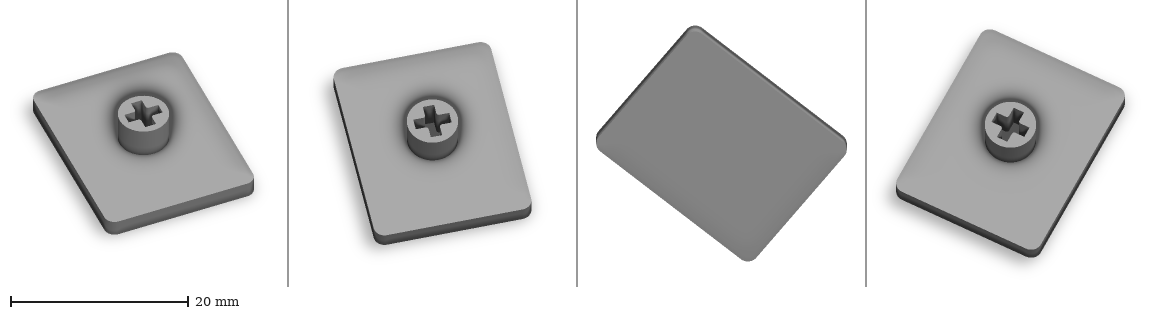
import cadquery as cq

plate_length = 22.95
plate_width = 18.2
plate_thickness = 2.0
corner_radius = 1.25

total_height = 5.7
stem_diameter = 5.8
stem_height = total_height - plate_thickness

arm_span = 4.15
arm_width = 1.3
inner_corner_radius = 0.3


def make_plate():
    """Flat rectangular plate with rounded vertical corners."""
    plate = cq.Workplane("XY").box(
        plate_length, plate_width, plate_thickness, centered=(True, True, False)
    )
    return plate.edges("|Z").fillet(corner_radius)


def make_stem():
    """Cylinder standing on the plate."""
    return cq.Workplane("XY").workplane(offset=plate_thickness).circle(stem_diameter / 2).extrude(stem_height)


def make_cross_socket():
    """Two crossed bars with rounding where the arms meet."""
    top_of_plate = cq.Workplane("XY").workplane(offset=plate_thickness)
    bar_along_x = top_of_plate.rect(arm_span, arm_width).extrude(stem_height)
    bar_along_y = top_of_plate.rect(arm_width, arm_span).extrude(stem_height)
    cross = bar_along_x.union(bar_along_y)
    inner_corners = cq.selectors.BoxSelector(
        (-arm_width, -arm_width, 0), (arm_width, arm_width, total_height)
    )
    return cross.edges("|Z").edges(inner_corners).fillet(inner_corner_radius)


result = make_plate().union(make_stem()).cut(make_cross_socket())